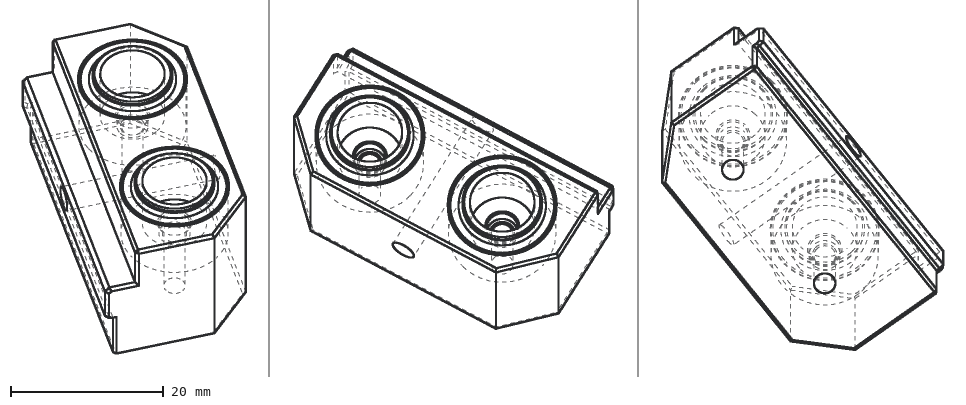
import cadquery as cq


LENGTH = 40.0
BLOCK_HEIGHT = 18.95
BACK_Y = 8.55
DEPTH = 20.75
RIDGE_OVER_UPPER = 4.1
RIDGE_OVER_LOWER = 1.1
RIDGE_BOTTOM = 7.0
RIDGE_TOP = 12.9
RIDGE_CHAMFER = 0.6
EDGE_CHAMFER = 0.4
CORNER_CUT = 6.0
CROSS_HOLE_DIAMETER = 3.2
CROSS_HOLE_HEIGHT = 9.95

BUSHING_SPACING = 20.0
BUSHING_TOP = 20.0
BUSHING_DIAMETER = 14.05
SHOULDER_HEIGHT = BLOCK_HEIGHT
SHOULDER_CHAMFER = 0.25
CONE_BASE_DIAMETER = 11.45
COLLAR_DIAMETER = 10.45
COLLAR_CHAMFER = 0.25
BORE_DIAMETER = 8.45
BORE_FLOOR = 12.0
FLOOR_THICKNESS = 2.0
FLOOR_HOLE_DIAMETER = 4.1
SCREW_HOLE_DIAMETER = 2.8
HOLE_CHAMFER = 0.2
POCKET_RIM_DIAMETER = 14.3

FRONT_Y = BACK_Y - DEPTH
UPPER_FRONT_Y = FRONT_Y + RIDGE_OVER_UPPER
LOWER_FRONT_Y = FRONT_Y + RIDGE_OVER_LOWER
POCKET_FLOOR = BORE_FLOOR - FLOOR_THICKNESS
POCKET_RIM_CHAMFER = (POCKET_RIM_DIAMETER - BUSHING_DIAMETER) / 2
BUSHING_POSITIONS = [(-BUSHING_SPACING / 2, 0), (BUSHING_SPACING / 2, 0)]


def ridged_bar():
    """Bar along X with the chamfered ridge on its front."""
    outline = [
        (BACK_Y, 0),
        (BACK_Y, BLOCK_HEIGHT),
        (UPPER_FRONT_Y, BLOCK_HEIGHT),
        (UPPER_FRONT_Y, RIDGE_TOP),
        (FRONT_Y + RIDGE_CHAMFER, RIDGE_TOP),
        (FRONT_Y, RIDGE_TOP - RIDGE_CHAMFER),
        (FRONT_Y, RIDGE_BOTTOM + RIDGE_CHAMFER),
        (FRONT_Y + RIDGE_CHAMFER, RIDGE_BOTTOM),
        (LOWER_FRONT_Y, RIDGE_BOTTOM),
        (LOWER_FRONT_Y, 0),
    ]
    return cq.Workplane("YZ").polyline(outline).close().extrude(LENGTH / 2, both=True)


def back_corner(side):
    """Triangular prism that bevels a back corner; side is -1 for the -X corner and 1 for +X."""
    end_x = side * LENGTH / 2
    corner = [(end_x, BACK_Y), (end_x - side * CORNER_CUT, BACK_Y), (end_x, BACK_Y - CORNER_CUT)]
    return cq.Workplane("XY").polyline(corner).close().extrude(BLOCK_HEIGHT)


def chamfer_block_edges(block):
    """Chamfers the rims of the top, bottom and end faces, leaving the upright bevel edges sharp."""
    rims = block.faces("<Z or >Z or <X or >X").edges()
    sharp_edges = block.faces("<X or >X").edges("|Z and >Y").vals()
    chamfered = [rim for rim in rims.vals() if not any(rim.isSame(sharp) for sharp in sharp_edges)]
    return rims.newObject(chamfered).chamfer(EDGE_CHAMFER)


def hole_tool(diameter, bottom, top, chamfer):
    """Cutter for a round hole on the Z axis whose top rim is chamfered."""
    radius = diameter / 2
    half_outline = [
        (0, bottom),
        (radius, bottom),
        (radius, top - chamfer),
        (radius + chamfer, top),
        (0, top),
    ]
    return cq.Workplane("XZ").polyline(half_outline).close().revolve(360, (0, 0), (0, 1))


def make_block():
    """Block with its cross hole, bushing pockets and screw holes."""
    block = ridged_bar()
    for side in (-1, 1):
        block = block.cut(back_corner(side))
    block = chamfer_block_edges(block)

    cross_hole = (
        cq.Workplane("XZ")
        .center(0, CROSS_HOLE_HEIGHT)
        .circle(CROSS_HOLE_DIAMETER / 2)
        .extrude(DEPTH, both=True)
    )
    block = block.cut(cross_hole)

    pocket = hole_tool(BUSHING_DIAMETER, POCKET_FLOOR, BLOCK_HEIGHT, POCKET_RIM_CHAMFER)
    screw_hole = hole_tool(SCREW_HOLE_DIAMETER, 0, POCKET_FLOOR, HOLE_CHAMFER)
    for x, y in BUSHING_POSITIONS:
        block = block.cut(pocket.translate((x, y, 0)))
        block = block.cut(screw_hole.translate((x, y, 0)))
    return block


def make_bushing():
    """Cup with a shouldered rim, standing on the pocket floor and centred on the Z axis."""
    outer_radius = BUSHING_DIAMETER / 2
    cone_base_radius = CONE_BASE_DIAMETER / 2
    collar_radius = COLLAR_DIAMETER / 2
    cone_top = SHOULDER_HEIGHT + cone_base_radius - collar_radius
    half_outline = [
        (0, POCKET_FLOOR),
        (outer_radius, POCKET_FLOOR),
        (outer_radius, SHOULDER_HEIGHT - SHOULDER_CHAMFER),
        (outer_radius - SHOULDER_CHAMFER, SHOULDER_HEIGHT),
        (cone_base_radius, SHOULDER_HEIGHT),
        (collar_radius, cone_top),
        (collar_radius, BUSHING_TOP - COLLAR_CHAMFER),
        (collar_radius - COLLAR_CHAMFER, BUSHING_TOP),
        (0, BUSHING_TOP),
    ]
    bushing = cq.Workplane("XZ").polyline(half_outline).close().revolve(360, (0, 0), (0, 1))
    bore = (
        cq.Workplane("XY", origin=(0, 0, BORE_FLOOR))
        .circle(BORE_DIAMETER / 2)
        .extrude(BUSHING_TOP - BORE_FLOOR)
    )
    floor_hole = hole_tool(FLOOR_HOLE_DIAMETER, POCKET_FLOOR, BORE_FLOOR, HOLE_CHAMFER)
    return bushing.cut(bore).cut(floor_hole)


block = make_block()
bushings = [make_bushing().translate((x, y, 0)) for x, y in BUSHING_POSITIONS]

result = cq.Compound.makeCompound([block.val(), *[bushing.val() for bushing in bushings]])